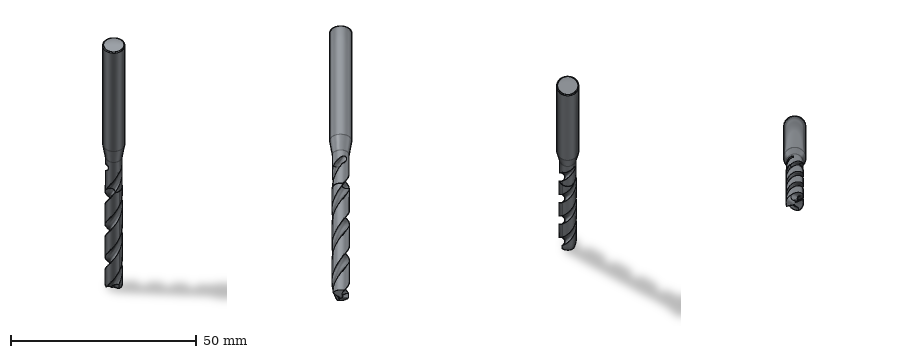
import cadquery as cq
import math

total_length = 91.0
shank_bottom = 53.8
neck_top = 49.0
joint_height = 37.6
shoulder_height = 1.1

shank_radius = 3.0
shank_chamfer = 0.3
neck_radius = 2.3
drill_radius = 2.4

flute_count = 2
flute_spacing = 360 / flute_count
flute_pitch = 24.6
flute_radius = 1.4
flute_offset = 2.2
flute_start_angle = -78.0
helix_top = 44.4
runout_rise = 4.55
runout_slope = 1.1

gash_face_offset = 0.2
gash_width = 1.5
gash_inner_x = 0.3
gash_inner_height = 1.0
gash_outer_height = 2.9


def make_shank_blank():
    """Shank, cone and neck above the joint."""
    profile = [
        (0, joint_height),
        (neck_radius, joint_height),
        (neck_radius, neck_top),
        (shank_radius, shank_bottom),
        (shank_radius, total_length - shank_chamfer),
        (shank_radius - shank_chamfer, total_length),
        (0, total_length),
    ]
    return cq.Workplane("XZ").polyline(profile).close().revolve(360, (0, 0), (0, 1))


def make_drill_blank():
    """Pointed cylinder below the joint."""
    profile = [
        (0, 0),
        (drill_radius, shoulder_height),
        (drill_radius, joint_height),
        (0, joint_height),
    ]
    return cq.Workplane("XZ").polyline(profile).close().revolve(360, (0, 0), (0, 1))


def flute_section(angle, height):
    """Flute cross-section at the given direction and height."""
    direction = math.radians(angle)
    center = (flute_offset * math.cos(direction), flute_offset * math.sin(direction))
    return cq.Workplane("XY", origin=(0, 0, height)).moveTo(*center).circle(flute_radius)


def helical_flute(start_angle, bottom, top):
    """Helical cutter between two heights; start_angle is its direction at Z = 0."""
    angle = start_angle + 360 * bottom / flute_pitch
    twist = 360 * (top - bottom) / flute_pitch
    return flute_section(angle, bottom).twistExtrude(top - bottom, twist)


def flute_runout(start_angle):
    """Straight cutter that leaves the helix along its tangent."""
    angle = start_angle + 360 * helix_top / flute_pitch
    direction = math.radians(angle)
    sideways = runout_slope * runout_rise
    travel = cq.Vector(-sideways * math.sin(direction), sideways * math.cos(direction), runout_rise)
    outline = flute_section(angle, helix_top).wires().val()
    return cq.Workplane(cq.Solid.extrudeLinear(outline, [], travel))


def point_gash():
    """Wedge with a flat cutting face and a floor rising outward."""
    profile = [
        (gash_inner_x, 0),
        (gash_inner_x, gash_inner_height),
        (drill_radius, gash_outer_height),
        (drill_radius, 0),
    ]
    plane = cq.Workplane("XZ", origin=(0, -gash_face_offset, 0))
    return plane.polyline(profile).close().extrude(gash_width)


shank = make_shank_blank()
drill = make_drill_blank()
for index in range(flute_count):
    turn = index * flute_spacing
    flute_angle = flute_start_angle + turn
    drill = drill.cut(helical_flute(flute_angle, 0, joint_height))
    drill = drill.cut(point_gash().rotate((0, 0, 0), (0, 0, 1), turn))
    shank = shank.cut(helical_flute(flute_angle, joint_height, helix_top))
    shank = shank.cut(flute_runout(flute_angle))

result = cq.Compound.makeCompound([shank.val(), drill.val()])